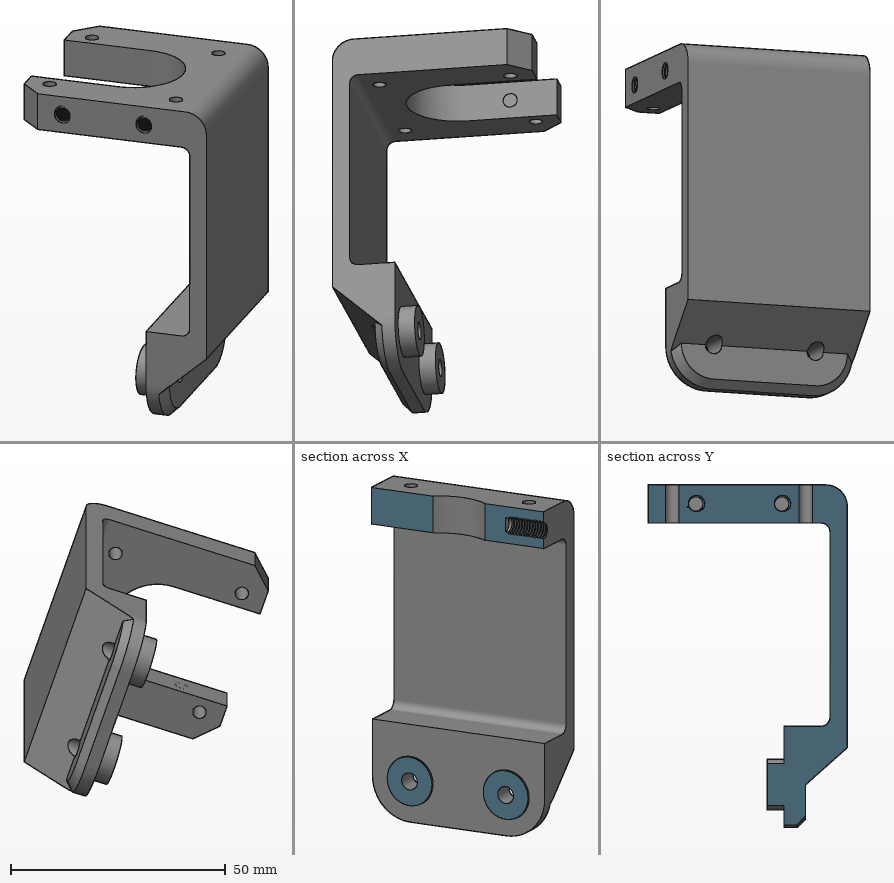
import cadquery as cq

LENGTH = 46.37
WIDTH = 45.25
HEIGHT = 79.77

TOP_PLATE_THICKNESS = 8.95
WALL_THICKNESS = 4.1
OUTER_BEND_RADIUS = 5.1
INNER_BEND_RADIUS = 2.0
FOOT_LENGTH = 14.8
FOOT_TOP_Z = 23.65
SLOPE_TOP_Z = 18.6

PAD_THICKNESS = 5.1
PAD_CORNER_RADIUS = 10.0
PAD_CHAMFER = 2.0
BOSS_DIAMETER = 11.85
BOSS_LENGTH = 3.9
BOSS_HOLE_DIAMETER = 4.0

MOTOR_AXIS_X = 21.15
MOTOR_AXIS_Y = -0.375
SLOT_WIDTH = 24.0
MOTOR_HOLE_SPACING = 31.0
MOTOR_HOLE_DIAMETER = 3.09
FORK_CORNER_CHAMFER = 5.0

SIDE_HOLE_XS = (11.1, 31.1)
SIDE_HOLE_DEPTH = 10.0
THREAD_MINOR_DIAMETER = 3.33
THREAD_MAJOR_DIAMETER = 4.11
THREAD_PITCH = 0.7
THREAD_ROOT_WIDTH = 0.6
THREAD_CREST_WIDTH = 0.1
THREAD_OVERLAP = 0.05
THREAD_START_ANGLE = 90.0

WALL_INNER_X = LENGTH - WALL_THICKNESS
FOOT_FRONT_X = LENGTH - FOOT_LENGTH
PAD_BACK_X = FOOT_FRONT_X + PAD_THICKNESS
PAD_HOLE_Y = WIDTH / 2 - PAD_CORNER_RADIUS
PAD_HOLE_Z = PAD_CORNER_RADIUS
TOP_PLATE_BOTTOM_Z = HEIGHT - TOP_PLATE_THICKNESS
SIDE_HOLE_Z = HEIGHT - TOP_PLATE_THICKNESS / 2


def rounded_foot_blank():
    """Full block whose two lower corners carry the pad rounding."""
    blank = cq.Workplane("XY").box(LENGTH, WIDTH, HEIGHT, centered=(False, True, False))
    return blank.edges("|X and <Z").fillet(PAD_CORNER_RADIUS)


def c_profile_body():
    """Top plate, rear wall and sloped foot, trimmed to the rounded outline."""
    slope = (SLOPE_TOP_Z - PAD_CORNER_RADIUS) / (LENGTH - PAD_BACK_X)
    slope_front_z = PAD_CORNER_RADIUS - slope * PAD_THICKNESS
    body = (
        cq.Workplane("XZ")
        .moveTo(0, HEIGHT)
        .lineTo(LENGTH, HEIGHT)
        .lineTo(LENGTH, SLOPE_TOP_Z)
        .lineTo(FOOT_FRONT_X, slope_front_z)
        .lineTo(FOOT_FRONT_X, FOOT_TOP_Z)
        .lineTo(WALL_INNER_X, FOOT_TOP_Z)
        .lineTo(WALL_INNER_X, TOP_PLATE_BOTTOM_Z)
        .lineTo(0, TOP_PLATE_BOTTOM_Z)
        .close()
        .extrude(WIDTH / 2, both=True)
    )
    outer_bend = cq.selectors.NearestToPointSelector((LENGTH, 0, HEIGHT))
    body = body.edges(outer_bend).fillet(OUTER_BEND_RADIUS)
    for bend_z in (FOOT_TOP_Z, TOP_PLATE_BOTTOM_Z):
        inner_bend = cq.selectors.NearestToPointSelector((WALL_INNER_X, 0, bend_z))
        body = body.edges(inner_bend).fillet(INNER_BEND_RADIUS)
    return body.intersect(rounded_foot_blank())


def mounting_pad():
    """Rounded plate below the slope, bevelled around its back edge."""
    pad = (
        cq.Workplane("XY", origin=(FOOT_FRONT_X, 0, 0))
        .box(PAD_THICKNESS, WIDTH, FOOT_TOP_Z, centered=(False, True, False))
        .edges("|X and <Z")
        .fillet(PAD_CORNER_RADIUS)
    )
    return pad.faces(">X").edges("not >Z").chamfer(PAD_CHAMFER)


def pad_points(start_x):
    """Workplane facing +X with the two pad hole centres on the stack."""
    plane = cq.Workplane("YZ", origin=(start_x, 0, 0))
    return plane.pushPoints([(-PAD_HOLE_Y, PAD_HOLE_Z), (PAD_HOLE_Y, PAD_HOLE_Z)])


def add_bosses(body):
    """Two drilled spacer bosses on the front of the pad."""
    boss_front_x = FOOT_FRONT_X - BOSS_LENGTH
    bosses = pad_points(boss_front_x).circle(BOSS_DIAMETER / 2).extrude(BOSS_LENGTH)
    holes = pad_points(boss_front_x).circle(BOSS_HOLE_DIAMETER / 2).extrude(LENGTH - boss_front_x)
    return body.union(bosses).cut(holes)


def motor_cutouts():
    """Open-ended motor slot, its four screw holes and the fork corner cuts."""
    plane = cq.Workplane("XY", origin=(0, 0, TOP_PLATE_BOTTOM_Z))
    slot = (
        plane.center(MOTOR_AXIS_X / 2, MOTOR_AXIS_Y)
        .rect(MOTOR_AXIS_X, SLOT_WIDTH)
        .extrude(TOP_PLATE_THICKNESS)
    )
    slot_end = plane.center(MOTOR_AXIS_X, MOTOR_AXIS_Y).circle(SLOT_WIDTH / 2).extrude(TOP_PLATE_THICKNESS)
    screw_holes = (
        plane.center(MOTOR_AXIS_X, MOTOR_AXIS_Y)
        .rect(MOTOR_HOLE_SPACING, MOTOR_HOLE_SPACING, forConstruction=True)
        .vertices()
        .circle(MOTOR_HOLE_DIAMETER / 2)
        .extrude(TOP_PLATE_THICKNESS)
    )
    cutouts = slot.union(slot_end).union(screw_holes)
    for side in (-1, 1):
        edge_y = side * WIDTH / 2
        corner = (
            plane.moveTo(0, edge_y)
            .lineTo(FORK_CORNER_CHAMFER, edge_y)
            .lineTo(0, edge_y - side * FORK_CORNER_CHAMFER)
            .close()
            .extrude(TOP_PLATE_THICKNESS)
        )
        cutouts = cutouts.union(corner)
    return cutouts


def tap_cutter():
    """Threaded cutter along +Z with its mouth at Z = 0; the ridge overshoots the mouth by one pitch."""
    root_radius = THREAD_MINOR_DIAMETER / 2 - THREAD_OVERLAP
    crest_radius = THREAD_MAJOR_DIAMETER / 2
    root_half_width = THREAD_ROOT_WIDTH / 2
    crest_half_width = THREAD_CREST_WIDTH / 2
    helix = cq.Wire.makeHelix(THREAD_PITCH, SIDE_HOLE_DEPTH, root_radius)
    ridge = (
        cq.Workplane("XZ")
        .moveTo(root_radius, -root_half_width)
        .lineTo(crest_radius, -crest_half_width)
        .lineTo(crest_radius, crest_half_width)
        .lineTo(root_radius, root_half_width)
        .close()
        .sweep(cq.Workplane(obj=helix), isFrenet=True)
        .translate((0, 0, -THREAD_PITCH))
    )
    core = cq.Workplane("XY").circle(THREAD_MINOR_DIAMETER / 2).extrude(SIDE_HOLE_DEPTH)
    return core.union(ridge)


def cut_side_holes(body):
    """Blind threaded holes entering the -Y edge of the top plate."""
    cutter = tap_cutter().rotate((0, 0, 0), (0, 0, 1), THREAD_START_ANGLE)
    cutter = cutter.rotate((0, 0, 0), (1, 0, 0), -90)
    for hole_x in SIDE_HOLE_XS:
        body = body.cut(cutter.translate((hole_x, -WIDTH / 2, SIDE_HOLE_Z)))
    return body


bracket = add_bosses(c_profile_body().union(mounting_pad()))
result = cut_side_holes(bracket.cut(motor_cutouts()))